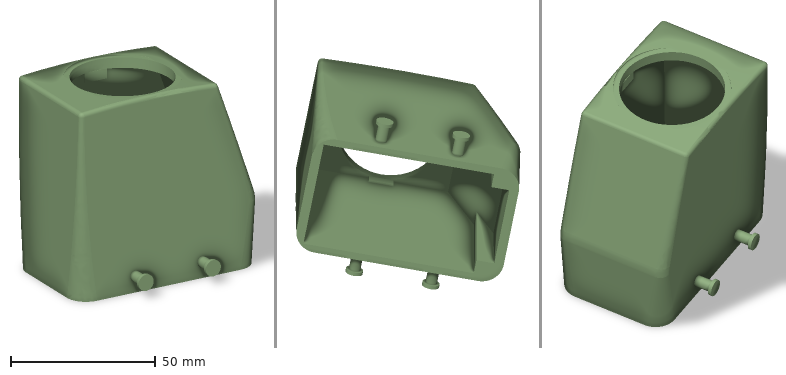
import cadquery as cq
import math

half_width = 21.6
base_half_length = 36.5
front_top_y = -35.5
knee_y = 36.2
knee_z = 26.3
back_lean = 20.0
back_slope = math.tan(math.radians(back_lean))
knee_reach = 1.75
top_edge_radius = 1.45

base_corner_radius = 7.6
knee_corner_radius = 3.6
top_corner_radius = 1.5

top_z = 72.0
crown_radius = 313.9
opening_y = -5.9
opening_diameter = 36.8
seat_diameter = 41.0
seat_depth = 0.475
seat_z = top_z - seat_depth
stock_z = 73.7
loft_steps = 5

cavity_half_width = 19.0
back_wall = 3.35
front_wall = 3.3
ceiling_z = 67.6
pad_inner_x = 14.0
pad_y = 26.9
boss_face_x = 18.2
boss_width = 8.75
boss_bottom_z = 63.9

pin_z = 6.1
pin_spacing = 27.0
pin_diameter = 4.0
head_diameter = 6.05
head_thickness = 1.25
pin_span = 58.0
pin_tip_x = pin_span / 2


def front_y(z):
    return -base_half_length + (front_top_y + base_half_length) * z / top_z


def sharp_back_y(z):
    if z <= knee_z:
        return base_half_length + (knee_y - base_half_length) * z / knee_z
    return knee_y - back_slope * (z - knee_z)


def back_y(z):
    """Back profile, with a parabolic blend across the knee."""
    low, high = knee_z - knee_reach, knee_z + knee_reach
    if z <= low or z >= high:
        return sharp_back_y(z)
    t = (z - low) / (high - low)
    start, end = sharp_back_y(low), sharp_back_y(high)
    return (1 - t) ** 2 * start + 2 * t * (1 - t) * knee_y + t ** 2 * end


def front_radius(z):
    return top_corner_radius + (base_corner_radius - top_corner_radius) * (1 - z / stock_z) ** 2


def back_radius(z):
    low, high = knee_z - knee_reach, knee_z + knee_reach
    if z <= low:
        return base_corner_radius + (knee_corner_radius - base_corner_radius) * z / low
    if z <= high:
        return knee_corner_radius
    t = (stock_z - z) / (stock_z - high)
    return top_corner_radius + (knee_corner_radius - top_corner_radius) * t ** 2


def half_section(z, end_y, radius):
    """Half outline at height z, from y = 0 to end_y, with its two end corners rounded."""
    w = half_width
    side = math.copysign(1, end_y)
    inset = radius * (1 - math.sqrt(0.5))
    tangent_y = end_y - side * radius
    arc_y = end_y - side * inset
    outline = (
        cq.Workplane("XY", origin=(0, 0, z))
        .moveTo(-w, 0)
        .lineTo(-w, tangent_y)
        .threePointArc((-w + inset, arc_y), (-w + radius, end_y))
        .lineTo(w - radius, end_y)
        .threePointArc((w - inset, arc_y), (w, tangent_y))
        .lineTo(w, 0)
        .close()
    )
    return outline.val()


def loft_between(bottom, top, end_y, radius):
    """Smooth half body; end_y and radius are functions of height."""
    heights = [bottom + (top - bottom) * i / loft_steps for i in range(loft_steps + 1)]
    return cq.Workplane(cq.Solid.makeLoft([half_section(z, end_y(z), radius(z)) for z in heights]))


def crown_z(y):
    return top_z - crown_radius + math.sqrt(crown_radius ** 2 - (y - opening_y) ** 2)


def outer_body():
    low, high = knee_z - knee_reach, knee_z + knee_reach
    body = loft_between(0, stock_z, front_y, front_radius)
    for bottom, top in ((0, low), (low, high), (high, stock_z)):
        body = body.union(loft_between(bottom, top, back_y, back_radius))
    body = body.clean()
    reach = 2 * base_half_length
    under_crown = (
        cq.Workplane("YZ")
        .moveTo(-reach, 0)
        .lineTo(reach, 0)
        .lineTo(reach, crown_z(reach))
        .threePointArc((opening_y, top_z), (-reach, crown_z(-reach)))
        .close()
        .extrude(base_half_length, both=True)
    )
    return body.intersect(under_crown).faces(">Z").edges().fillet(top_edge_radius)


def box(x_min, x_max, y_min, y_max, z_min, z_max):
    size = (x_max - x_min, y_max - y_min, z_max - z_min)
    return cq.Workplane("XY").box(*size, centered=False).translate((x_min, y_min, z_min))


def cavity():
    space = (
        cq.Workplane("YZ")
        .moveTo(front_y(0) + front_wall, 0)
        .lineTo(sharp_back_y(0) - back_wall, 0)
        .lineTo(knee_y - back_wall, knee_z)
        .lineTo(sharp_back_y(ceiling_z) - back_wall, ceiling_z)
        .lineTo(front_y(ceiling_z) + front_wall, ceiling_z)
        .close()
        .extrude(cavity_half_width, both=True)
    )
    boss_y = (opening_y - boss_width / 2, opening_y + boss_width / 2)
    pad = box(pad_inner_x, half_width, pad_y, base_half_length, 0, ceiling_z)
    boss = box(boss_face_x, half_width, *boss_y, boss_bottom_z, ceiling_z)
    for block in (pad, boss):
        space = space.cut(block).cut(block.mirror("YZ"))
    return space


def cylinder_above(z, diameter):
    return (
        cq.Workplane("XY", origin=(0, opening_y, z))
        .circle(diameter / 2)
        .extrude(stock_z - z)
    )


def locking_pin(y):
    """Headed pin standing out of the +X wall."""
    root_x = cavity_half_width
    shaft = (
        cq.Workplane("YZ", origin=(root_x, y, pin_z))
        .circle(pin_diameter / 2)
        .extrude(pin_tip_x - root_x)
    )
    head = (
        cq.Workplane("YZ", origin=(pin_tip_x - head_thickness, y, pin_z))
        .circle(head_diameter / 2)
        .extrude(head_thickness)
    )
    return shaft.union(head)


result = outer_body().cut(cavity())
result = result.cut(cylinder_above(ceiling_z, opening_diameter))
result = result.cut(cylinder_above(seat_z, seat_diameter))

for pin_y in (-pin_spacing / 2, pin_spacing / 2):
    pin = locking_pin(pin_y)
    result = result.union(pin).union(pin.mirror("YZ"))